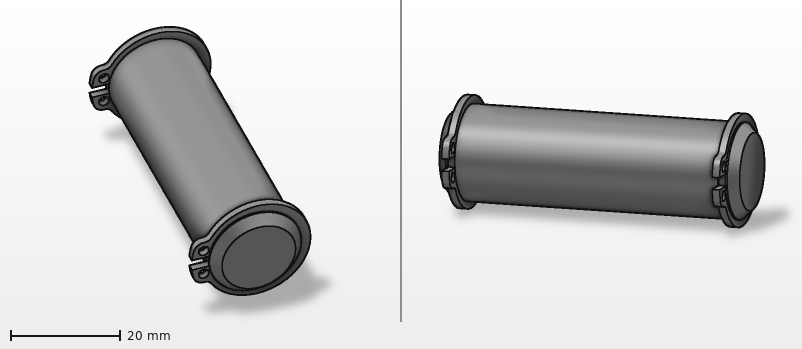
import cadquery as cq
import math

pin_length = 58.0
pin_radius = 18.0 / 2
pin_chamfer = 1.8

ring_thickness = 1.45
ring_inset = 2.15
ring_radius = 20.95 / 2
groove_radius = 8.45
ring_offset = 0.45
slot_width = 2.25

lug_radius = 2.05
lug_blend_radius = 1.5
lug_hole_diameter = 2.0
lug_hole_y = -9.9
lug_hole_z = 2.7
lug_end_radius = math.hypot(lug_hole_y, lug_hole_z) + lug_radius


def polar(center, radius, angle):
    return (center[0] + radius * math.cos(angle), center[1] + radius * math.sin(angle))


def direction(start, end):
    return math.atan2(end[1] - start[1], end[0] - start[0])


def make_pin():
    pin = cq.Workplane("YZ").circle(pin_radius).extrude(pin_length / 2, both=True)
    return pin.faces("<X or >X").chamfer(pin_chamfer)


def make_lug(side):
    """Lug above (side=1) or below (side=-1) the slot, in (Y, Z) coordinates."""
    rim_center = (ring_offset, 0.0)
    lug_center = (lug_hole_y, lug_hole_z)
    pin_axis = (0.0, 0.0)

    to_blend = ring_radius + lug_blend_radius
    lug_to_blend = lug_radius + lug_blend_radius
    spacing = math.dist(rim_center, lug_center)
    cos_rim = (to_blend**2 + spacing**2 - lug_to_blend**2) / (2 * to_blend * spacing)
    blend_angle = direction(rim_center, lug_center) - math.acos(cos_rim)
    blend_center = polar(rim_center, to_blend, blend_angle)

    rim_joint = polar(rim_center, ring_radius, blend_angle)
    lug_joint_angle = direction(lug_center, blend_center)
    lug_joint = polar(lug_center, lug_radius, lug_joint_angle)
    blend_middle_angle = (direction(blend_center, rim_joint) + direction(blend_center, lug_joint)) / 2
    blend_middle = polar(blend_center, lug_blend_radius, blend_middle_angle)

    tangent_angle = direction(pin_axis, lug_center)
    tangent_point = polar(lug_center, lug_radius, tangent_angle)
    tip_angle = math.pi - math.asin(slot_width / 2 / lug_end_radius)
    tip = polar(pin_axis, lug_end_radius, tip_angle)
    end_middle = polar(pin_axis, lug_end_radius, (tangent_angle + tip_angle) / 2)
    lug_middle = polar(lug_center, lug_radius, (lug_joint_angle + tangent_angle) / 2)

    def placed(point):
        return (point[0], side * point[1])

    return (
        cq.Workplane("YZ")
        .moveTo(*placed(rim_joint))
        .threePointArc(placed(blend_middle), placed(lug_joint))
        .threePointArc(placed(lug_middle), placed(tangent_point))
        .threePointArc(placed(end_middle), placed(tip))
        .lineTo(0, side * slot_width / 2)
        .close()
        .extrude(ring_thickness)
    )


def make_groove_cutter():
    """Annulus as wide as the ring, from the groove floor out past the pin."""
    return cq.Workplane("YZ").circle(ring_radius).circle(groove_radius).extrude(ring_thickness)


def make_ring():
    """Ring with its outer face at X = 0, running toward +X."""
    ring = cq.Workplane("YZ").center(ring_offset, 0).circle(ring_radius).extrude(ring_thickness)
    for side in (1, -1):
        ring = ring.union(make_lug(side))
    slot = (
        cq.Workplane("YZ")
        .center(-lug_end_radius / 2, 0)
        .rect(lug_end_radius, slot_width)
        .extrude(ring_thickness)
    )
    bore = cq.Workplane("YZ").circle(groove_radius).extrude(ring_thickness)
    holes = (
        cq.Workplane("YZ")
        .pushPoints([(lug_hole_y, lug_hole_z), (lug_hole_y, -lug_hole_z)])
        .circle(lug_hole_diameter / 2)
        .extrude(ring_thickness)
    )
    return ring.cut(slot).cut(holes).cut(bore)


ring_start = pin_length / 2 - ring_inset
result = make_pin()
for ring_x in (-ring_start, ring_start - ring_thickness):
    result = result.cut(make_groove_cutter().translate((ring_x, 0, 0)))
    result = result.union(make_ring().translate((ring_x, 0, 0)))